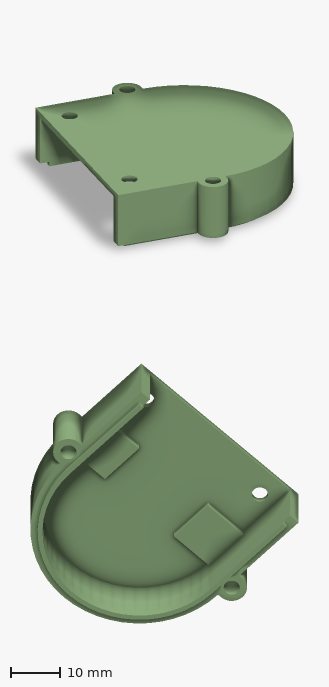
import cadquery as cq

overall_width = 52.2
overall_length = 45.7
overall_height = 12.5
body_width = 44.25
wall_thickness = 2.45
roof_thickness = 1.3

lip_height = 1.0
lip_thickness = 1.0
lip_front_setback = 2.0

ear_diameter = 6.2
hole_diameter = 3.3
roof_hole_x = 16.0
roof_hole_front_offset = 4.95

pad_height = 1.45
channel_width = 19.45

body_radius = body_width / 2
cavity_radius = body_radius - wall_thickness
lip_radius = cavity_radius + lip_thickness
front_y = body_radius - overall_length
body_height = overall_height - lip_height
ceiling_z = body_height - roof_thickness
ear_radius = ear_diameter / 2
ear_x = overall_width / 2 - ear_radius
ear_y = -ear_radius
pad_side = cavity_radius - channel_width / 2
roof_hole_y = front_y + roof_hole_front_offset


def round_ended_block(radius, block_front_y, bottom_z, height):
    """Block with a flat front and a half-round back centred on the origin."""
    return (
        cq.Workplane("XY", origin=(0, 0, bottom_z))
        .moveTo(-radius, block_front_y)
        .lineTo(radius, block_front_y)
        .lineTo(radius, 0)
        .threePointArc((0, radius), (-radius, 0))
        .close()
        .extrude(height)
    )


def screw_ears():
    """Full-height ears joined to the side walls by a straight tangent bridge."""
    ears = (
        cq.Workplane("XY")
        .pushPoints([(-ear_x, ear_y), (ear_x, ear_y)])
        .circle(ear_radius)
        .extrude(body_height)
    )
    bridge = (
        cq.Workplane("XY")
        .center(0, ear_y)
        .rect(2 * ear_x, 2 * ear_radius)
        .extrude(body_height)
    )
    return ears.union(bridge)


def roof_pads():
    """Square pads against the straight side walls, ending where the walls turn round."""
    pad_x = channel_width / 2 + pad_side / 2
    return (
        cq.Workplane("XY", origin=(0, 0, ceiling_z - pad_height))
        .pushPoints([(-pad_x, -pad_side / 2), (pad_x, -pad_side / 2)])
        .rect(pad_side, pad_side)
        .extrude(pad_height)
    )


def vertical_holes():
    """Through holes in the ears and near the front corners of the roof."""
    centres = []
    for side in (-1, 1):
        centres.append((side * ear_x, ear_y))
        centres.append((side * roof_hole_x, roof_hole_y))
    return (
        cq.Workplane("XY")
        .pushPoints(centres)
        .circle(hole_diameter / 2)
        .extrude(body_height)
    )


body = round_ended_block(body_radius, front_y, 0, body_height)
lip = round_ended_block(lip_radius, front_y + lip_front_setback, -lip_height, lip_height)
cavity = round_ended_block(cavity_radius, front_y, -lip_height, ceiling_z + lip_height)

shell = body.union(screw_ears()).union(lip).cut(cavity)
result = shell.union(roof_pads()).cut(vertical_holes())